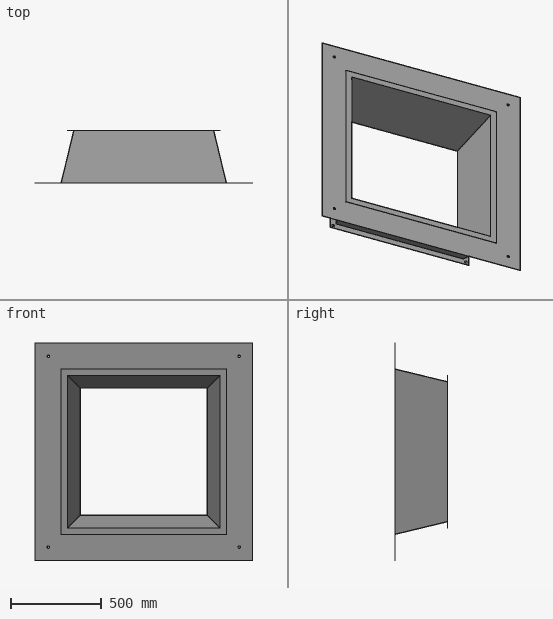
import cadquery as cq

BASE_SIDE = 1200.0
DEPTH = 290.0
SHEET = 0.6
REAR_FLANGE_SIDE = 840.0

FRONT_OUTER = 912.0
REAR_OUTER = 772.0
FRONT_OPENING = 840.0
REAR_OPENING = FRONT_OPENING - (FRONT_OUTER - REAR_OUTER)
FRONT_LINING = FRONT_OUTER - 2 * SHEET
REAR_LINING = REAR_OUTER - 2 * SHEET

BASE_HOLE_DIAMETER = 12.0
REAR_HOLE_DIAMETER = 13.0
BASE_HOLE_INSET = 75.0
REAR_HOLE_INSET = 18.0

FRONT_Y = -DEPTH / 2
REAR_Y = DEPTH / 2


def square_block(side, start_y, length):
    """Square block centred on the Y axis, running from start_y toward +Y."""
    return cq.Workplane("XY").box(side, length, side).translate((0, start_y + length / 2, 0))


def tapered_block(front_side, rear_side):
    """Square frustum that fills the whole depth."""
    return (
        cq.Workplane("XZ", origin=(0, FRONT_Y, 0))
        .rect(front_side, front_side)
        .workplane(offset=-DEPTH)
        .rect(rear_side, rear_side)
        .loft(ruled=True)
    )


def corner_holes(side, inset, diameter, start_y):
    """Four drills through a sheet, each at the same inset from two edges."""
    spacing = side - 2 * inset
    return (
        cq.Workplane("XZ", origin=(0, start_y, 0))
        .rect(spacing, spacing, forConstruction=True)
        .vertices()
        .circle(diameter / 2)
        .extrude(-SHEET)
    )


def make_casing():
    """Tapered sheet casing with a wide front flange and a narrow rear flange."""
    rear_flange_y = REAR_Y - SHEET
    casing = tapered_block(FRONT_OUTER, REAR_OUTER)
    casing = casing.union(square_block(BASE_SIDE, FRONT_Y, SHEET))
    casing = casing.union(square_block(REAR_FLANGE_SIDE, rear_flange_y, SHEET))
    casing = casing.cut(tapered_block(FRONT_LINING, REAR_LINING))
    casing = casing.cut(corner_holes(BASE_SIDE, BASE_HOLE_INSET, BASE_HOLE_DIAMETER, FRONT_Y))
    return casing.cut(corner_holes(REAR_FLANGE_SIDE, REAR_HOLE_INSET, REAR_HOLE_DIAMETER, rear_flange_y))


def make_lining():
    """Thick tapered lining that fills the casing and leaves the square opening."""
    lining = tapered_block(FRONT_LINING, REAR_LINING)
    return lining.cut(tapered_block(FRONT_OPENING, REAR_OPENING))


casing = make_casing()
lining = make_lining()
result = cq.Compound.makeCompound([casing.val(), lining.val()])